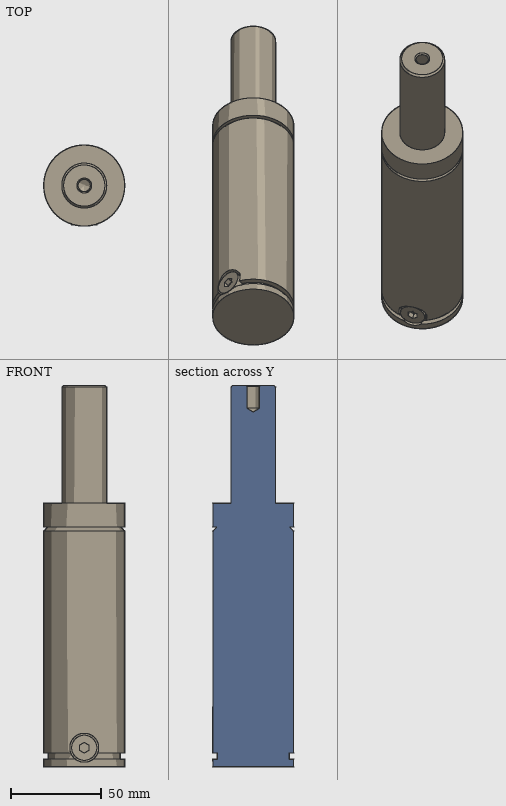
import cadquery as cq
import math

total_height = 211.5
body_radius = 45.0 / 2
body_top = 146.1
rod_radius = 25.0 / 2
rod_chamfer = 1.0

collar_bottom = 132.8
bevel = 2.1

flange_height = 4.2
groove_top = 7.6
groove_radius = body_radius - 2.5

hole_diameter = 6.8
hole_mouth_diameter = 8.2
hole_depth = 12.7
drill_point_angle = 118

plug_height = 10.5
bore_radius = 16.0 / 2
plug_radius = 14.0 / 2
plug_face_distance = 21.8
plug_seat_distance = 17
socket_across_flats = 5.0
socket_depth = 3.2


def make_body():
    """Revolve the stepped profile of the body and rod about Z."""
    profile = [
        (0, 0),
        (body_radius, 0),
        (body_radius, flange_height),
        (groove_radius, flange_height),
        (groove_radius, groove_top),
        (body_radius, groove_top),
        (body_radius, collar_bottom - bevel),
        (body_radius - bevel, collar_bottom),
        (body_radius, collar_bottom),
        (body_radius, body_top),
        (rod_radius, body_top),
        (rod_radius, total_height - rod_chamfer),
        (rod_radius - rod_chamfer, total_height),
        (0, total_height),
    ]
    return cq.Workplane("XZ").polyline(profile).close().revolve(360, (0, 0), (0, 1))


def make_rod_hole():
    """Blind hole with a countersunk mouth and a conical drill point."""
    radius = hole_diameter / 2
    mouth_radius = hole_mouth_diameter / 2
    mouth_depth = mouth_radius - radius
    point_depth = radius / math.tan(math.radians(drill_point_angle / 2))
    floor = total_height - hole_depth
    profile = [
        (0, total_height),
        (mouth_radius, total_height),
        (radius, total_height - mouth_depth),
        (radius, floor),
        (0, floor - point_depth),
    ]
    return cq.Workplane("XZ").polyline(profile).close().revolve(360, (0, 0), (0, 1))


def front_plane(distance):
    """Plane facing -Y, centred on the plug axis at a distance from the body axis."""
    return cq.Workplane("XZ", origin=(0, -distance, plug_height))


def make_plug_bore():
    """Bore around the plug, leaving an annular gap down to its seat."""
    return front_plane(plug_seat_distance).circle(bore_radius).extrude(body_radius - plug_seat_distance)


def make_plug():
    """Plug with a hexagon socket, corners up and down."""
    length = plug_face_distance - plug_seat_distance
    plug = front_plane(plug_seat_distance).circle(plug_radius).extrude(length)
    across_corners = socket_across_flats / math.cos(math.pi / 6)
    socket = (
        front_plane(plug_face_distance)
        .transformed(rotate=(0, 0, 90))
        .polygon(6, across_corners)
        .extrude(-socket_depth)
    )
    return plug.cut(socket)


result = make_body().cut(make_rod_hole()).cut(make_plug_bore()).union(make_plug())